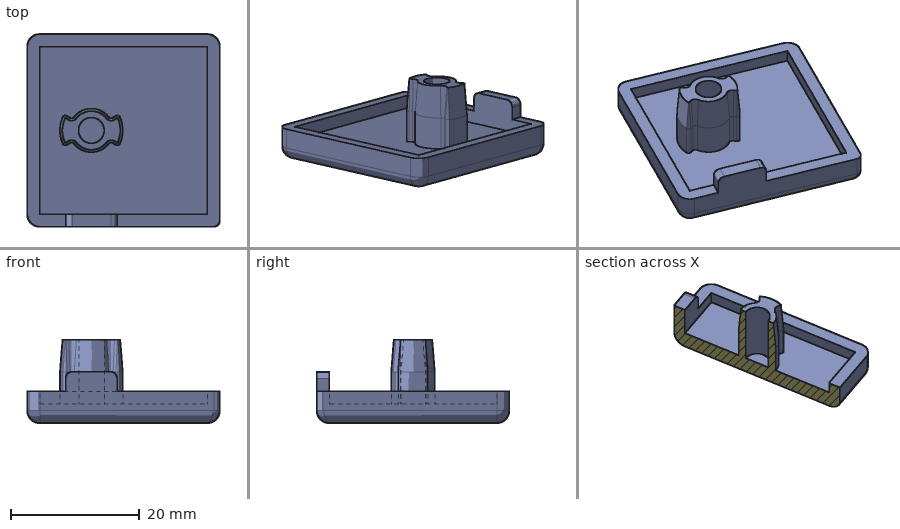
import cadquery as cq
import math

plate_side = 30.0
plate_height = 5.0
corner_radius = 2.0
small_corner_radius = 1.0
bottom_edge_radius = 2.0

wall = 2.0
floor_thickness = 3.0

post_x = -5.0
post_top_z = 13.0
taper_height = 5.0
taper_inset = 0.4
hub_top_radius = 3.0
ear_top_radius = 4.5
notch_radius = 0.5
tip_radius = 0.45
notch_angle = 38.0
tip_angle = 25.0
bore_diameter = 4.0

tab_width = 8.0
tab_height = 3.0
tab_corner_radius = 1.0

taper_start_z = post_top_z - taper_height
taper_angle = math.degrees(math.atan(taper_inset / taper_height))
hub_radius = hub_top_radius + taper_inset
ear_radius = ear_top_radius + taper_inset


def make_plate():
    plate = cq.Workplane("XY").box(plate_side, plate_side, plate_height, centered=(True, True, False))
    plate = plate.edges("|Z and (<X or >Y)").fillet(corner_radius)
    plate = plate.edges("|Z and >X and <Y").fillet(small_corner_radius)
    plate = plate.faces("<Z").edges().fillet(bottom_edge_radius)
    recess_side = plate_side - 2 * wall
    recess = (
        cq.Workplane("XY")
        .workplane(offset=floor_thickness)
        .rect(recess_side, recess_side)
        .extrude(plate_height)
    )
    return plate.cut(recess)


def make_tab():
    tab = cq.Workplane("XY").box(tab_width, wall, tab_height, centered=(True, False, False))
    tab = tab.edges("|Y and >Z").fillet(tab_corner_radius)
    return tab.translate((post_x, -plate_side / 2, plate_height))


def polar(origin, distance, direction):
    """Point at a distance and direction (radians) from the origin point."""
    return (origin[0] + distance * math.cos(direction), origin[1] + distance * math.sin(direction))


def post_outline(z):
    """Closed outline of hub, ears and the tangent arcs and flats that join them."""
    center = (0.0, 0.0)
    notch = polar(center, hub_radius + notch_radius, math.radians(notch_angle))
    tip = polar(center, ear_radius - tip_radius, math.radians(tip_angle))

    span = math.dist(notch, tip)
    notch_to_tip = math.atan2(tip[1] - notch[1], tip[0] - notch[0])
    flat_normal = notch_to_tip - math.acos((notch_radius + tip_radius) / span)

    ear_end = polar(center, ear_radius, math.radians(tip_angle))
    tip_mid = polar(tip, tip_radius, (math.radians(tip_angle) + flat_normal + math.pi) / 2)
    tip_end = polar(tip, -tip_radius, flat_normal)
    notch_start = polar(notch, notch_radius, flat_normal)
    notch_mid = polar(notch, notch_radius, (flat_normal + math.radians(notch_angle) - math.pi) / 2)
    notch_end = polar(center, hub_radius, math.radians(notch_angle))

    def flip(point, x_sign, y_sign):
        return (point[0] * x_sign, point[1] * y_sign)

    outline = cq.Workplane("XY").workplane(offset=z).moveTo(*flip(ear_end, 1, -1))
    for side in (1, -1):
        outline = (
            outline.threePointArc((side * ear_radius, 0), flip(ear_end, side, side))
            .threePointArc(flip(tip_mid, side, side), flip(tip_end, side, side))
            .lineTo(*flip(notch_start, side, side))
            .threePointArc(flip(notch_mid, side, side), flip(notch_end, side, side))
            .threePointArc((0, side * hub_radius), flip(notch_end, -side, side))
            .threePointArc(flip(notch_mid, -side, side), flip(notch_start, -side, side))
            .lineTo(*flip(tip_end, -side, side))
            .threePointArc(flip(tip_mid, -side, side), flip(ear_end, -side, side))
        )
    return outline.close()


def make_post():
    straight = post_outline(floor_thickness).extrude(taper_start_z - floor_thickness)
    tapered = post_outline(taper_start_z).extrude(taper_height, taper=taper_angle)
    bore = (
        cq.Workplane("XY")
        .workplane(offset=floor_thickness)
        .circle(bore_diameter / 2)
        .extrude(post_top_z - floor_thickness)
    )
    return straight.union(tapered).cut(bore).translate((post_x, 0, 0))


result = make_plate().union(make_tab()).union(make_post())